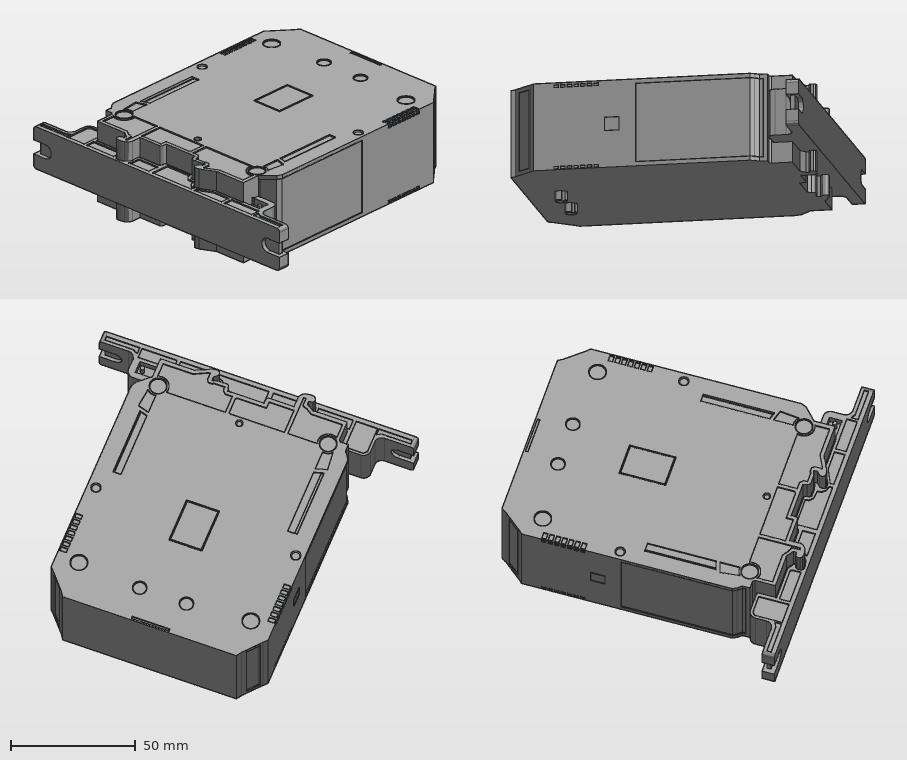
import cadquery as cq


HOUSING_HEIGHT = 36.0
HALF_WIDTH = 46.7
TOP_Y = 123.97
FOOT_HALF_WIDTH = 40.2
FOOT_Y = 8.1
FOOT_TOP_Y = 21.5
RECESS_DEPTH = 0.6
MID_Z = HOUSING_HEIGHT / 2

BASE_LENGTH = 135.4
BASE_HEIGHT = 19.0
BASE_BLOCK_HALF = 52.1
BASE_BLOCK_Y = 15.8
TAB_Y = 5.2
BASE_CORNER_RADIUS = 3.0
TAB_BLEND_RADIUS = 3.0
TAB_END_RADIUS = 1.5
BASE_FACE_WALL = 1.95
BASE_RIB_Y = 6.35
WEB_TOP_Y = 3.75
JOINT_GAP = 0.45
BASE_BOTTOM = MID_Z - BASE_HEIGHT / 2
BASE_TOP = MID_Z + BASE_HEIGHT / 2
HALF_LENGTH = BASE_LENGTH / 2

SLOT_WIDTH = 6.3
SLOT_DEPTH = 9.7
WEB_SETBACK = 2.0

PIN_SPACING = 20.1
PIN_Y = 108.9
PIN_DIAMETER = 5.0
PIN_LENGTH = 4.0
PIN_CHAMFER = 0.4
PIN_GROOVE_WIDTH = 1.2
PIN_GROOVE_OFFSET = 1.2
PIN_GROOVE_DEPTH = 1.0
SOCKET_DIAMETER = 5.9

UPPER_DISC_X = 37.0
UPPER_DISC_Y = 106.9
LOWER_DISC_X = 36.6
LOWER_DISC_Y = 20.0
DISC_DIAMETER = 7.2
DISC_RIM_RADIUS = 4.4
SIDE_DIMPLE_X = 43.0
SIDE_DIMPLE_Y = 72.5
SIDE_DIMPLE_DIAMETER = 4.2
CENTRE_DIMPLE_Y = 24.2
CENTRE_DIMPLE_DIAMETER = 3.0
DIMPLE_RIM = 0.45
DISC_RIM = 0.3

LABEL_WIDTH = 14.2
LABEL_LENGTH = 19.6
LABEL_Y = 74.4
LABEL_GROOVE = 0.5
SLIT_LENGTH = 16.2
SLIT_WIDTH = 1.0
SLIT_Y = 122.7

GUIDE_INNER_X = 35.9
GUIDE_TOP_Y = 63.2
GUIDE_STEP_X = 38.8
GUIDE_STEP_EXTRA = 0.5
LEFT_GUIDE_WIDTH = 4.0
RIGHT_GUIDE_WIDTH = 3.4
GUIDE_END_INNER_Y = 34.3
GUIDE_END_SLOPE = 0.29
PAD_END_Y = 22.0

VENT_COUNT = 7
VENT_PITCH = 2.73
VENT_WIDTH = 1.8
VENT_TOP_Y = 104.5
VENT_LENGTH = 3.3
VENT_SKIN = 0.5
VENT_SIDE_HEIGHT = 1.0
VENT_EDGE_GAP = 0.9
VENT_LOWER_Z = 0.4

PANEL_DEPTH = 0.5
PANEL_END_MARGIN = 1.8
LEFT_PANEL_Y = (19.3, 71.0)
RIGHT_PANEL_Y = (17.3, 71.0)
CORNER_PANEL_Y = (115.2, 120.0)
INDICATOR_Y = 80.8
INDICATOR_LENGTH = 6.0
INDICATOR_HEIGHT = 5.5
INDICATOR_DEPTH = 0.3

WIRE_POCKET_X = (FOOT_HALF_WIDTH - 0.4, 49.1)
WIRE_POCKET_Y = (7.9, 13.2)
WIRE_POCKET_DEPTH = 3.0
STUD_CENTRE = (47.1, 10.3)
STUD_DIAMETER = 1.8
NOTCH_WIDTH = 1.0
NOTCH_LENGTH = 2.2

SIDES = (-1, 1)


def block(x_range, y_range, z_range):
    """Box between two X, two Y and two Z limits."""
    size = [high - low for low, high in (x_range, y_range, z_range)]
    return cq.Workplane("XY").box(*size, centered=False).translate((x_range[0], y_range[0], z_range[0]))


def prism(points, bottom, top):
    """Closed polygon extruded along Z."""
    return cq.Workplane("XY").workplane(offset=bottom).polyline(points).close().extrude(top - bottom)


def disc(x, y, diameter, bottom, top):
    """Upright cylinder."""
    return cq.Workplane("XY").workplane(offset=bottom).center(x, y).circle(diameter / 2).extrude(top - bottom)


LEFT_CONTOUR = [
    (-FOOT_HALF_WIDTH, 16.7), (-41.0, 17.5), (-44.3, 17.5),
    (-44.3, 20.7), (-45.7, 22.3), (-HALF_WIDTH, 24.2),
]
UPPER_CONTOUR = [
    (-HALF_WIDTH, 112.8), (-45.2, 114.3), (-38.7, 121.9), (-37.4, TOP_Y),
    (37.4, TOP_Y), (38.7, 121.9), (45.2, 114.3), (HALF_WIDTH, 112.8),
]
RIGHT_CONTOUR = [(HALF_WIDTH, 24.2), (45.7, 21.9), (FOOT_HALF_WIDTH, 16.9)]
SHELL_CONTOUR = LEFT_CONTOUR + UPPER_CONTOUR + RIGHT_CONTOUR


def foot():
    """Rail foot with its two rounded hooks, full housing height."""
    outline = (
        cq.Workplane("XY")
        .moveTo(-FOOT_HALF_WIDTH, FOOT_TOP_Y)
        .lineTo(-FOOT_HALF_WIDTH, FOOT_Y)
        .lineTo(-25.2, FOOT_Y)
        .lineTo(-22.3, 6.1)
        .lineTo(-22.3, 4.8)
        .lineTo(-24.0, 4.6)
        .lineTo(-24.6, 3.8)
        .lineTo(-24.5, 2.7)
        .lineTo(-23.8, 1.9)
        .lineTo(-22.8, 1.7)
        .lineTo(-21.7, 1.7)
        .lineTo(-19.7, 2.1)
        .threePointArc((-18.6, 2.9), (-17.7, 4.6))
        .lineTo(-17.7, 9.2)
        .lineTo(-7.0, 9.2)
        .threePointArc((-6.3, 9.5), (-6.0, 10.2))
        .lineTo(-6.0, 12.1)
        .lineTo(9.7, 12.1)
        .lineTo(10.2, 10.6)
        .threePointArc((10.5, 9.6), (11.4, 9.2))
        .lineTo(14.4, 9.2)
        .lineTo(16.5, 9.6)
        .lineTo(16.8, 9.9)
        .lineTo(17.4, 9.8)
        .lineTo(17.4, 8.3)
        .lineTo(16.1, 7.2)
        .threePointArc((15.7, 5.7), (16.8, 4.7))
        .lineTo(18.9, 4.9)
        .lineTo(25.5, FOOT_Y)
        .lineTo(FOOT_HALF_WIDTH, FOOT_Y)
        .lineTo(FOOT_HALF_WIDTH, FOOT_TOP_Y)
        .close()
    )
    return outline.extrude(HOUSING_HEIGHT)


def side_panels():
    """Thin bands that sink the side and corner panels into the shell contour."""
    outer = prism(SHELL_CONTOUR, PANEL_END_MARGIN, HOUSING_HEIGHT - PANEL_END_MARGIN)
    inner = (
        cq.Workplane("XY").polyline(SHELL_CONTOUR).close()
        .offset2D(-PANEL_DEPTH, "intersection").extrude(HOUSING_HEIGHT)
    )
    band = outer.cut(inner)
    zones = cq.Workplane("XY")
    for side, side_panel_y in zip(SIDES, (LEFT_PANEL_Y, RIGHT_PANEL_Y)):
        for y_range in (side_panel_y, CORNER_PANEL_Y):
            x_range = sorted((side * UPPER_DISC_X, side * HALF_WIDTH))
            zones = zones.add(block(x_range, y_range, (0, HOUSING_HEIGHT)))
    return band.intersect(zones.combine())


def foot_pockets():
    """Three shallow pockets in the upper face of the foot."""
    left = [
        (-38.8, FOOT_TOP_Y), (-38.8, 9.8), (-25.3, 9.8), (-22.9, 8.2), (-20.8, 7.4),
        (-20.8, 3.9), (-19.8, 3.9), (-19.8, FOOT_TOP_Y),
    ]
    middle = [
        (-18.3, FOOT_TOP_Y), (-18.3, 10.75), (-7.6, 10.75), (-7.6, 13.7),
        (5.0, 13.7), (5.6, 14.3), (5.6, FOOT_TOP_Y),
    ]
    right = [
        (7.1, FOOT_TOP_Y), (7.1, 13.7), (10.2, 13.7), (11.5, 12.3), (11.5, 10.75), (16.3, 10.75),
        (16.7, 11.2), (18.4, 11.2), (19.2, 10.2), (19.2, 7.0), (19.8, 7.0), (25.5, 9.8),
        (38.4, 9.8), (38.4, FOOT_TOP_Y),
    ]
    floor = HOUSING_HEIGHT - RECESS_DEPTH
    pockets = prism(middle, floor, HOUSING_HEIGHT)
    for points, side in ((left, -1), (right, 1)):
        rim = disc(side * LOWER_DISC_X, LOWER_DISC_Y, 2 * DISC_RIM_RADIUS, floor, HOUSING_HEIGHT)
        outer_edge = sorted((side * LOWER_DISC_X, side * FOOT_HALF_WIDTH))
        rim = rim.union(block(outer_edge, (LOWER_DISC_Y, FOOT_TOP_Y), (floor, HOUSING_HEIGHT)))
        pockets = pockets.union(prism(points, floor, HOUSING_HEIGHT).cut(rim))
    return pockets


def round_recesses():
    """Flat discs, pin sockets and small dimples, all with a bevel around the floor."""
    floor = HOUSING_HEIGHT - RECESS_DEPTH
    discs = [(side * UPPER_DISC_X, UPPER_DISC_Y, DISC_DIAMETER) for side in SIDES]
    discs += [(side * LOWER_DISC_X, LOWER_DISC_Y, DISC_DIAMETER) for side in SIDES]
    discs += [(side * PIN_SPACING / 2, PIN_Y, SOCKET_DIAMETER) for side in SIDES]
    recesses = cq.Workplane("XY")
    for x, y, diameter in discs:
        recesses = recesses.add(disc(x, y, diameter, floor, HOUSING_HEIGHT).faces("<Z").chamfer(DISC_RIM))
    dimples = [(side * SIDE_DIMPLE_X, SIDE_DIMPLE_Y, SIDE_DIMPLE_DIAMETER) for side in SIDES]
    dimples.append((0, CENTRE_DIMPLE_Y, CENTRE_DIMPLE_DIAMETER))
    for x, y, diameter in dimples:
        dimple = disc(x, y, diameter, floor, HOUSING_HEIGHT).faces("<Z").chamfer(DIMPLE_RIM)
        recesses = recesses.add(dimple)
    return recesses.combine()


def label_and_slit():
    """Rectangular groove framing the label, and the slit at the top edge."""
    floor = HOUSING_HEIGHT - RECESS_DEPTH
    plane = cq.Workplane("XY").workplane(offset=floor)
    frame = (
        plane.center(0, LABEL_Y).rect(LABEL_WIDTH, LABEL_LENGTH)
        .rect(LABEL_WIDTH - 2 * LABEL_GROOVE, LABEL_LENGTH - 2 * LABEL_GROOVE).extrude(RECESS_DEPTH)
    )
    slit = plane.center(0, SLIT_Y).rect(SLIT_LENGTH, SLIT_WIDTH).extrude(RECESS_DEPTH)
    return frame.union(slit)


def guide(side, width):
    """Long guide slot with a deeper outer strip, and the tapered pad below it."""
    floor = HOUSING_HEIGHT - RECESS_DEPTH
    outer_x = GUIDE_INNER_X + width

    def end_y(x):
        return GUIDE_END_INNER_Y - GUIDE_END_SLOPE * (x - GUIDE_INNER_X)

    def slot(x_start, x_end, bottom):
        corners = [
            (x_start, GUIDE_TOP_Y), (x_start, end_y(x_start)),
            (x_end, end_y(x_end)), (x_end, GUIDE_TOP_Y),
        ]
        return prism([(side * x, y) for x, y in corners], bottom, HOUSING_HEIGHT)

    pad_corners = [(GUIDE_INNER_X, 32.7), (GUIDE_INNER_X, PAD_END_Y), (39.7, PAD_END_Y), (40.7, 31.2)]
    pad = prism([(side * x, y) for x, y in pad_corners], floor, HOUSING_HEIGHT)
    pad = pad.cut(disc(side * LOWER_DISC_X, LOWER_DISC_Y, 2 * DISC_RIM_RADIUS, floor, HOUSING_HEIGHT))
    strip = slot(GUIDE_STEP_X, outer_x, floor - GUIDE_STEP_EXTRA)
    return slot(GUIDE_INNER_X, outer_x, floor).union(strip).union(pad)


def vents():
    """Rows of vents: pockets in the upper face and windows along both side edges."""
    cutters = cq.Workplane("XY")
    window_top = HOUSING_HEIGHT - VENT_EDGE_GAP
    for index in range(VENT_COUNT):
        y_top = VENT_TOP_Y - index * VENT_PITCH
        y_range = (y_top - VENT_WIDTH, y_top)
        for side in SIDES:
            inner = side * (HALF_WIDTH - VENT_LENGTH)
            skin = side * (HALF_WIDTH - VENT_SKIN)
            face = side * HALF_WIDTH
            pocket_z = (HOUSING_HEIGHT - RECESS_DEPTH, HOUSING_HEIGHT)
            cutters = cutters.add(block(sorted((inner, skin)), y_range, pocket_z))
            for z_low in (window_top - VENT_SIDE_HEIGHT, VENT_LOWER_Z):
                window_z = (z_low, z_low + VENT_SIDE_HEIGHT)
                cutters = cutters.add(block(sorted((skin, face)), y_range, window_z))
    return cutters.combine()


def indicator():
    """Small square recess in the -X side."""
    y_range = (INDICATOR_Y - INDICATOR_LENGTH / 2, INDICATOR_Y + INDICATOR_LENGTH / 2)
    z_range = (MID_Z - INDICATOR_HEIGHT / 2, MID_Z + INDICATOR_HEIGHT / 2)
    return block((-HALF_WIDTH, INDICATOR_DEPTH - HALF_WIDTH), y_range, z_range)


def pins():
    """Grooved locating pins under the housing."""
    both = cq.Workplane("XY")
    for side in SIDES:
        x = side * PIN_SPACING / 2
        pin = disc(x, PIN_Y, PIN_DIAMETER, -PIN_LENGTH, 0).faces("<Z").chamfer(PIN_CHAMFER)
        groove_y = PIN_Y - PIN_GROOVE_OFFSET
        groove_y_range = (groove_y - PIN_GROOVE_WIDTH / 2, groove_y + PIN_GROOVE_WIDTH / 2)
        for flank in SIDES:
            outer_x = x + flank * PIN_DIAMETER / 2
            groove_x_range = sorted((outer_x, outer_x - flank * PIN_GROOVE_DEPTH))
            pin = pin.cut(block(groove_x_range, groove_y_range, (-PIN_LENGTH, 0)))
        both = both.add(pin)
    return both.combine()


def housing():
    """Shell and rail foot with all their recesses."""
    body = prism(SHELL_CONTOUR, 0, HOUSING_HEIGHT).union(foot())
    body = body.cut(side_panels()).cut(foot_pockets()).cut(round_recesses()).cut(label_and_slit())
    body = body.cut(guide(-1, LEFT_GUIDE_WIDTH)).cut(guide(1, RIGHT_GUIDE_WIDTH))
    return body.cut(vents()).cut(indicator())


def screw_slot(side):
    """Open slot at a base end; the web between the tab walls is only set back."""
    arc_x = HALF_LENGTH - SLOT_DEPTH + SLOT_WIDTH / 2
    slot = (
        cq.Workplane("XZ").center(side * arc_x, MID_Z).circle(SLOT_WIDTH / 2).extrude(-TAB_Y)
        .union(block(
            sorted((side * arc_x, side * HALF_LENGTH)),
            (0, TAB_Y),
            (MID_Z - SLOT_WIDTH / 2, MID_Z + SLOT_WIDTH / 2),
        ))
    )
    web_x = HALF_LENGTH - WEB_SETBACK
    web = block((-web_x, web_x), (BASE_FACE_WALL, WEB_TOP_Y), (BASE_BOTTOM, BASE_TOP))
    return slot.cut(web)


def base_pockets():
    """Shallow pockets in the upper face of the base."""
    low = BASE_FACE_WALL
    outlines = [
        [(-50.9, low), (-50.9, 13.3), (-49.6, 14.65), (-41.7, 14.65), (-41.7, low)],
        [(-40.4, low), (-40.4, BASE_RIB_Y), (-25.9, BASE_RIB_Y), (-25.5, 5.2), (-25.5, low)],
        [(-17.2, low), (-16.5, 3.2), (-16.5, 7.3), (-6.1, 7.3), (-6.1, low)],
        [(-4.1, low), (-4.1, 10.7), (8.5, 10.7), (8.6, 9.2), (10.2, 7.7), (13.8, 7.3), (13.9, 5.7),
         (15.2, 4.0), (17.3, 3.4), (17.3, low)],
        [(18.8, low), (18.8, 3.4), (25.5, BASE_RIB_Y), (33.9, BASE_RIB_Y), (33.9, low)],
        [(35.4, low), (35.4, BASE_RIB_Y), (50.5, BASE_RIB_Y), (50.5, low)],
    ]
    for side in SIDES:
        tab = [(51.5, low), (51.5, 4.8), (53.6, WEB_TOP_Y), (65.8, WEB_TOP_Y), (65.8, low)]
        outlines.append([(side * x, y) for x, y in tab])
    pockets = cq.Workplane("XY")
    for points in outlines:
        pockets = pockets.add(prism(points, BASE_TOP - RECESS_DEPTH, BASE_TOP))
    return pockets.combine()


def wire_pocket():
    """Deeper pocket with a small stud, and a notch next to the housing."""
    z_range = (BASE_TOP - WIRE_POCKET_DEPTH, BASE_TOP)
    pocket = block(WIRE_POCKET_X, WIRE_POCKET_Y, z_range)
    pocket = pocket.cut(disc(*STUD_CENTRE, STUD_DIAMETER, *z_range))
    notch_x = (FOOT_HALF_WIDTH, FOOT_HALF_WIDTH + NOTCH_WIDTH)
    notch_y = (BASE_BLOCK_Y - NOTCH_LENGTH, BASE_BLOCK_Y)
    return pocket.union(block(notch_x, notch_y, z_range))


def joint_groove():
    """Narrow groove in the upper face of the base, following the underside of the rail foot."""
    upper_layer = block(
        (-FOOT_HALF_WIDTH, FOOT_HALF_WIDTH), (0, BASE_BLOCK_Y), (BASE_TOP - RECESS_DEPTH, BASE_TOP)
    )
    return foot().translate((0, -JOINT_GAP, 0)).intersect(upper_layer)


def base():
    """Mounting bar with a raised middle block, slotted end tabs and pockets."""
    bar = block((-HALF_LENGTH, HALF_LENGTH), (0, TAB_Y), (BASE_BOTTOM, BASE_TOP))
    bar = bar.edges("|Y").fillet(TAB_END_RADIUS)
    raised = block((-BASE_BLOCK_HALF, BASE_BLOCK_HALF), (0, BASE_BLOCK_Y), (BASE_BOTTOM, BASE_TOP))
    raised = raised.edges("|Z and >Y").fillet(BASE_CORNER_RADIUS)
    bar = bar.union(raised)
    margin = 1.0
    inner_corners = cq.selectors.BoxSelector(
        (-BASE_BLOCK_HALF - margin, TAB_Y - margin, BASE_BOTTOM),
        (BASE_BLOCK_HALF + margin, TAB_Y + margin, BASE_TOP),
    )
    bar = bar.edges("|Z").edges(inner_corners).fillet(TAB_BLEND_RADIUS)
    for side in SIDES:
        bar = bar.cut(screw_slot(side))
    return bar.cut(base_pockets()).cut(wire_pocket()).cut(joint_groove())


result = base().union(housing()).union(pins())